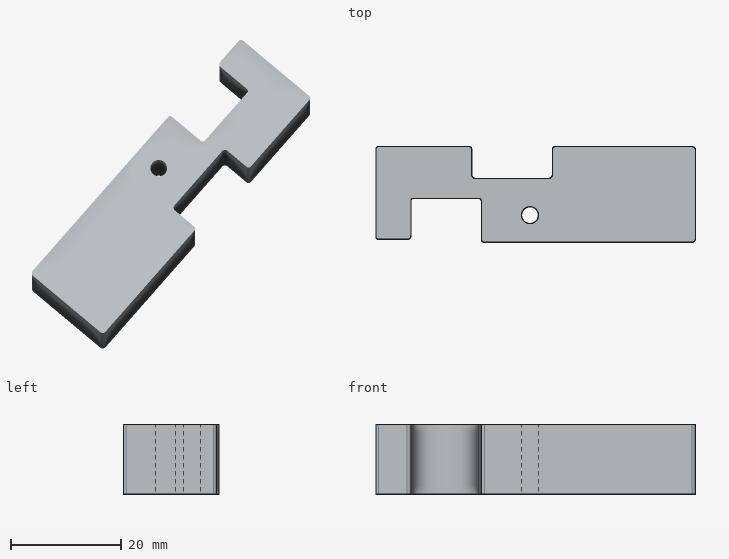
import cadquery as cq

length = 58.0
width = 17.4
height = 12.7

notch_left = 17.4
notch_right = 32.0
notch_depth = 5.8
notch_floor = width - notch_depth

finger_width = 6.4
finger_end = 0.5
slot_right = 19.15
slot_roof = 7.95

hole_diameter = 3.0
hole_x = 27.95
hole_y = 4.95

corner_radius = 0.5
large_corner_radius = 0.7
slot_left_radius = 0.35


def round_corners(body, corners, radius):
    """Fillet the vertical edges that stand on the given outline corners."""
    for x, y in corners:
        edge = cq.selectors.NearestToPointSelector((x, y, height / 2))
        body = body.edges("|Z").edges(edge).fillet(radius)
    return body


outline = [
    (0, finger_end),
    (finger_width, finger_end),
    (finger_width, slot_roof),
    (slot_right, slot_roof),
    (slot_right, 0),
    (length, 0),
    (length, width),
    (notch_right, width),
    (notch_right, notch_floor),
    (notch_left, notch_floor),
    (notch_left, width),
    (0, width),
]
slot_left_corners = [(finger_width, slot_roof)]
large_corners = [
    (finger_width, finger_end),
    (length, 0),
    (length, width),
    (notch_right, notch_floor),
    (notch_left, notch_floor),
]
special_corners = slot_left_corners + large_corners
plain_corners = [corner for corner in outline if corner not in special_corners]

body = cq.Workplane("XY").polyline(outline).close().extrude(height)
body = round_corners(body, plain_corners, corner_radius)
body = round_corners(body, large_corners, large_corner_radius)
body = round_corners(body, slot_left_corners, slot_left_radius)

hole = cq.Workplane("XY").center(hole_x, hole_y).circle(hole_diameter / 2).extrude(height)
result = body.cut(hole)